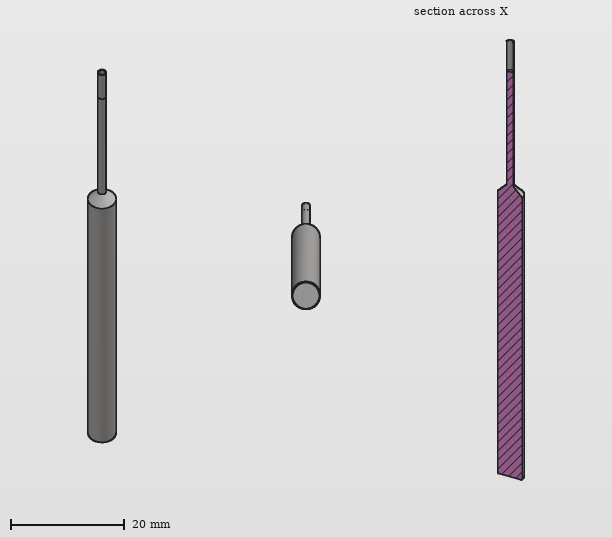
import cadquery as cq

total_length = 88.0
handle_diameter = 5.0
pin_diameter = 1.5
pin_length = 29.0
bore_diameter = 1.1
bore_depth = 6.0
end_chamfer = 0.2

handle_radius = handle_diameter / 2
pin_radius = pin_diameter / 2
shoulder_top = total_length - pin_length
shoulder_height = handle_radius - pin_radius
shoulder_bottom = shoulder_top - shoulder_height

body = (
    cq.Workplane("XZ")
    .lineTo(handle_radius - end_chamfer, 0)
    .lineTo(handle_radius, end_chamfer)
    .lineTo(handle_radius, shoulder_bottom)
    .lineTo(pin_radius, shoulder_top)
    .lineTo(pin_radius, total_length)
    .lineTo(0, total_length)
    .close()
    .revolve(360, (0, 0, 0), (0, 1, 0))
)

result = body.faces(">Z").workplane().hole(bore_diameter, bore_depth)